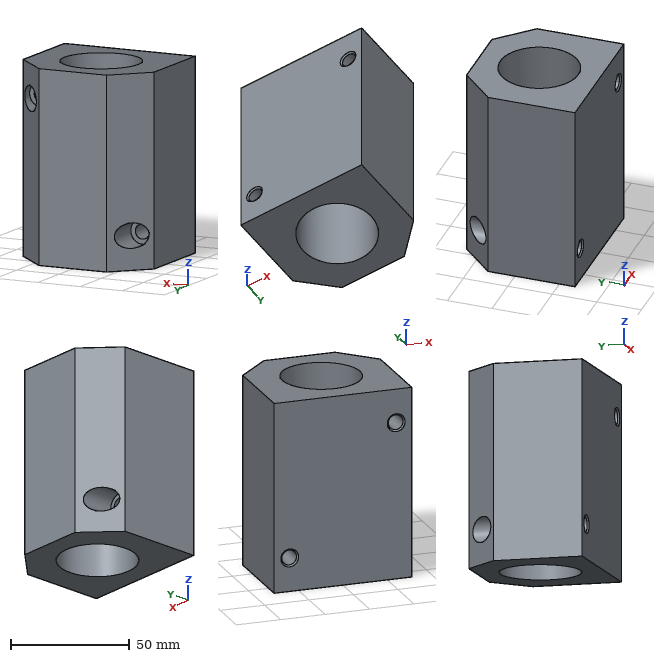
import cadquery as cq

width = 62.0
depth = 54.0
height = 85.0
edge_chamfer = 15.0
bore_diameter = 35.0

hole_diameter = 6.6
hole_offset_x = 24.0
hole_offset_z = 27.45
countersink_diameter = 8.0
counterbore_diameter = 11.0
counterbore_floor_below_back = 18.0

front_y = -depth / 2
back_y = depth / 2


def make_block():
    """Upright block with its two back vertical edges chamfered and a central bore."""
    block = cq.Workplane("XY").box(width, depth, height, centered=(True, True, False))
    block = block.edges("|Z and >Y").chamfer(edge_chamfer)
    return block.faces(">Z").workplane().hole(bore_diameter)


def make_screw_hole(x, z):
    """Cutter with a front countersink, through hole and back counterbore."""
    hole_radius = hole_diameter / 2
    countersink_radius = countersink_diameter / 2
    counterbore_radius = counterbore_diameter / 2
    countersink_depth = countersink_radius - hole_radius
    floor_y = back_y - counterbore_floor_below_back
    profile = [
        (0, front_y),
        (countersink_radius, front_y),
        (hole_radius, front_y + countersink_depth),
        (hole_radius, floor_y),
        (counterbore_radius, floor_y),
        (counterbore_radius, back_y),
        (0, back_y),
    ]
    cutter = cq.Workplane("XY").polyline(profile).close().revolve(360, (0, 0), (0, 1))
    return cutter.translate((x, 0, z))


result = make_block()
for side in (-1, 1):
    hole_x = side * hole_offset_x
    hole_z = height / 2 + side * hole_offset_z
    result = result.cut(make_screw_hole(hole_x, hole_z))